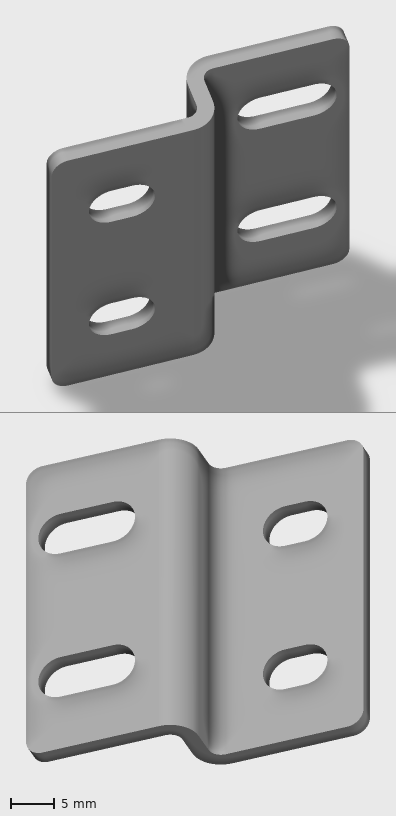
import cadquery as cq

depth = 10.2
width = 38.6
height = 40.0

thickness = 2.0
web_flat = 3.2
rear_flange_length = 20.0
corner_radius = 2.0

bend_outer = (depth - web_flat) / 2
bend_inner = bend_outer - thickness

slot_width = 5.5
slot_pitch_z = 20.0
slot_spacing_y = 22.6
long_slot_length = 12.0
short_slot_length = 8.0
long_slot_edge_distance = 7.5

x_min = -depth / 2
x_max = depth / 2
y_min = -width / 2
y_max = width / 2
web_front = y_max - rear_flange_length
web_back = web_front + thickness
long_slot_y = y_max - long_slot_edge_distance
short_slot_y = long_slot_y - slot_spacing_y


def bent_sheet():
    """Z-shaped sheet profile extruded along the full height."""
    bend_a_x = x_min + bend_outer
    bend_b_x = x_max - bend_outer
    bend_a_y = web_front + bend_outer
    bend_b_y = web_back - bend_outer
    return (
        cq.Workplane("XY")
        .workplane(offset=-height / 2)
        .moveTo(x_min, y_max)
        .lineTo(x_min, bend_a_y)
        .radiusArc((bend_a_x, web_front), -bend_outer)
        .lineTo(bend_b_x, web_front)
        .radiusArc((x_max - thickness, bend_b_y), bend_inner)
        .lineTo(x_max - thickness, y_min)
        .lineTo(x_max, y_min)
        .lineTo(x_max, bend_b_y)
        .radiusArc((bend_b_x, web_back), -bend_outer)
        .lineTo(bend_a_x, web_back)
        .radiusArc((x_min + thickness, bend_a_y), bend_inner)
        .lineTo(x_min + thickness, y_max)
        .close()
        .extrude(height)
    )


def slot_pair(center_y, length):
    """Cutters for two slots, one above the other, running through in X."""
    centers = [(center_y, -slot_pitch_z / 2), (center_y, slot_pitch_z / 2)]
    return (
        cq.Workplane("YZ")
        .pushPoints(centers)
        .slot2D(length, slot_width)
        .extrude(depth, both=True)
    )


bracket = bent_sheet()

bracket = bracket.faces("<Y or >Y").edges("|X").fillet(corner_radius)

bracket = bracket.cut(slot_pair(long_slot_y, long_slot_length))
bracket = bracket.cut(slot_pair(short_slot_y, short_slot_length))

result = bracket